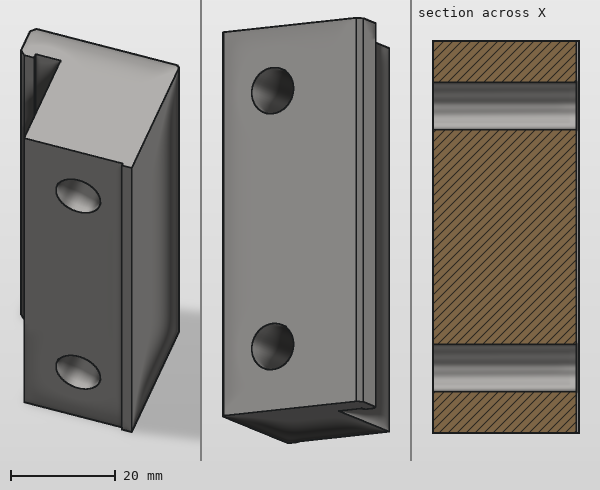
import cadquery as cq

width = 30.0
depth = 28.0
height = 75.0

block_left = 8.0
flange_depth = 7.2
groove_depth = 1.0
lip_width = 3.0
edge_chamfer = 1.0
corner_chamfer = 0.5

strip_width = 2.0
strip_height = 0.5

hole_diameter = 9.0
hole_x = 19.0
hole_spacing = 50.0

groove_y = depth - flange_depth + groove_depth
lip_y = depth - flange_depth

profile = [
    (block_left, strip_height),
    (width - strip_width, strip_height),
    (width - strip_width, 0),
    (width, 0),
    (width, depth - corner_chamfer),
    (width - corner_chamfer, depth),
    (edge_chamfer, depth),
    (0, depth - edge_chamfer),
    (0, lip_y + edge_chamfer),
    (edge_chamfer, lip_y),
    (lip_width, lip_y),
    (lip_width, groove_y),
    (block_left, groove_y),
]
body = cq.Workplane("XY").polyline(profile).close().extrude(height)

hole_heights = [height / 2 + side * hole_spacing / 2 for side in (-1, 1)]
holes = (
    cq.Workplane("XZ")
    .pushPoints([(hole_x, z) for z in hole_heights])
    .circle(hole_diameter / 2)
    .extrude(-depth)
)

result = body.cut(holes)